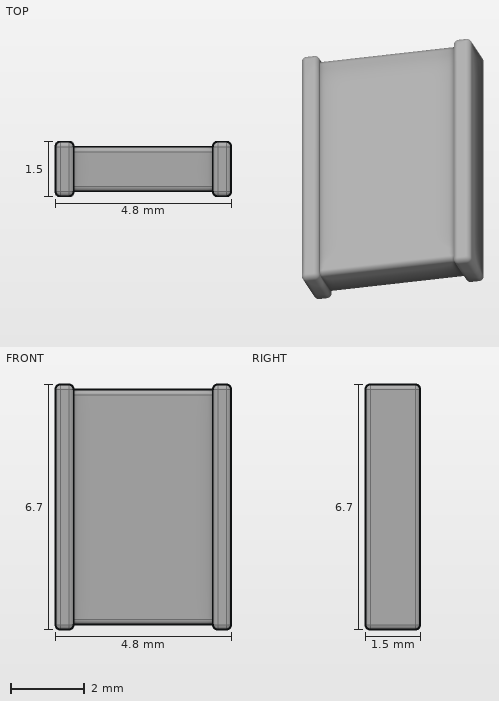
import cadquery as cq

total_length = 4.8
total_depth = 1.5
total_height = 6.7

cap_thickness = 0.5
edge_radius = 0.139

core_setback = edge_radius
core_length = total_length - 2 * cap_thickness
core_depth = total_depth - 2 * core_setback
core_height = total_height - 2 * core_setback


def make_core():
    """Block along X with its four long edges rounded."""
    block = cq.Workplane("XY").box(core_length, core_depth, core_height)
    return block.edges("|X").fillet(edge_radius)


def make_end_cap(center_x):
    """Upright plate with every edge rounded, centred at the given X."""
    plate = cq.Workplane("XY").box(cap_thickness, total_depth, total_height)
    return plate.edges().fillet(edge_radius).translate((center_x, 0, 0))


core = make_core()

cap_center_x = (total_length - cap_thickness) / 2
end_caps = [make_end_cap(side * cap_center_x) for side in (-1, 1)]

result = cq.Compound.makeCompound([core.val(), *[cap.val() for cap in end_caps]])